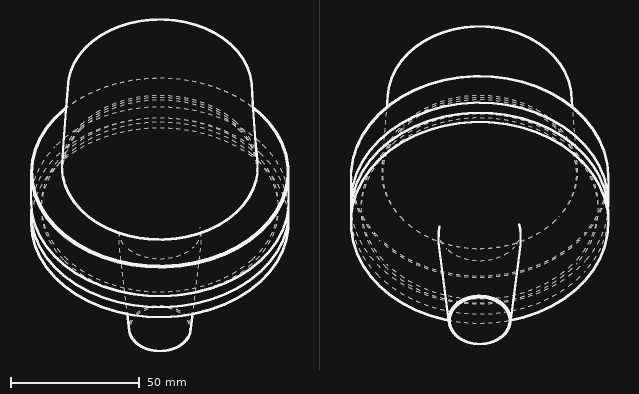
import cadquery as cq
import math

overall_length = 139.9
taper_top_z = 50.0
nose_bottom_z = taper_top_z - overall_length

taper_top_radius = 35.7
taper_base_radius = 38.0
taper_base_z = 2.7
taper_top_fillet = 2.2
neck_radius = 37.6
neck_chamfer = 0.7
neck_fillet = 1.1

relief_rim_radius = 39.6
relief_depth = 0.1

flange_diameter = 100.0
flange_radius = flange_diameter / 2
flange_bottom_z = -29.0
flange_edge_chamfer = 0.4
groove_radius = 46.0
groove_top_z = -16.9
groove_upper_step_z = -18.3
groove_upper_step_radius = 46.9
groove_floor_top_z = -18.9
groove_floor_bottom_z = -21.3
groove_lower_step_z = -22.0
groove_lower_step_radius = 47.7
groove_bottom_z = -23.2

collar_radius = 16.0
collar_top_z = -35.8
root_radius = 15.8
collar_bottom_z = -40.7
root_fillet = 6.0
nose_end_radius = 12.0
nose_end_chamfer = 0.4

taper_half_angle = math.atan2(taper_base_radius - taper_top_radius, taper_top_z - taper_base_z)
fillet_span = taper_top_fillet * math.tan((math.pi / 2 - taper_half_angle) / 2)
fillet_center_r = taper_top_radius - fillet_span
fillet_center_z = taper_top_z - taper_top_fillet


def top_fillet_point(angle):
    """Point of the top fillet at an angle above the horizontal."""
    return (
        fillet_center_r + taper_top_fillet * math.cos(angle),
        fillet_center_z + taper_top_fillet * math.sin(angle),
    )


def trace_nose(profile):
    """Run from the axis up the nose to the underside of the flange."""
    root_start_z = flange_bottom_z - root_fillet
    root_center_r = root_radius + root_fillet
    root_offset = root_fillet * math.sqrt(0.5)
    return (
        profile.lineTo(nose_end_radius - nose_end_chamfer, nose_bottom_z)
        .lineTo(nose_end_radius, nose_bottom_z + nose_end_chamfer)
        .lineTo(collar_radius, collar_bottom_z)
        .lineTo(collar_radius, collar_top_z)
        .lineTo(root_radius, root_start_z)
        .threePointArc(
            (root_center_r - root_offset, root_start_z + root_offset),
            (root_center_r, flange_bottom_z),
        )
    )


def trace_flange(profile):
    """Run around the flange rim and its groove to the upper face."""
    return (
        profile.lineTo(flange_radius, flange_bottom_z)
        .lineTo(flange_radius, groove_bottom_z)
        .lineTo(groove_lower_step_radius, groove_lower_step_z)
        .lineTo(groove_radius, groove_floor_bottom_z)
        .lineTo(groove_radius, groove_floor_top_z)
        .lineTo(groove_upper_step_radius, groove_upper_step_z)
        .lineTo(flange_radius, groove_top_z)
        .lineTo(flange_radius, -flange_edge_chamfer)
        .lineTo(flange_radius - flange_edge_chamfer, 0)
    )


def trace_shank(profile):
    """Run through the relief and neck and up the taper to the axis."""
    neck_fillet_r = neck_radius + neck_fillet
    neck_fillet_z = neck_fillet - relief_depth
    neck_fillet_offset = neck_fillet * math.sqrt(0.5)
    middle_angle = (taper_half_angle + math.pi / 2) / 2
    return (
        profile.lineTo(relief_rim_radius, 0)
        .lineTo(neck_fillet_r, -relief_depth)
        .threePointArc(
            (neck_fillet_r - neck_fillet_offset, neck_fillet_z - neck_fillet_offset),
            (neck_radius, neck_fillet_z),
        )
        .lineTo(neck_radius, taper_base_z - neck_chamfer)
        .lineTo(taper_base_radius, taper_base_z)
        .lineTo(*top_fillet_point(taper_half_angle))
        .threePointArc(top_fillet_point(middle_angle), top_fillet_point(math.pi / 2))
        .lineTo(0, taper_top_z)
    )


profile = cq.Workplane("XZ").moveTo(0, nose_bottom_z)
profile = trace_nose(profile)
profile = trace_flange(profile)
profile = trace_shank(profile)
result = profile.close().revolve(360, (0, 0, 0), (0, 1, 0))